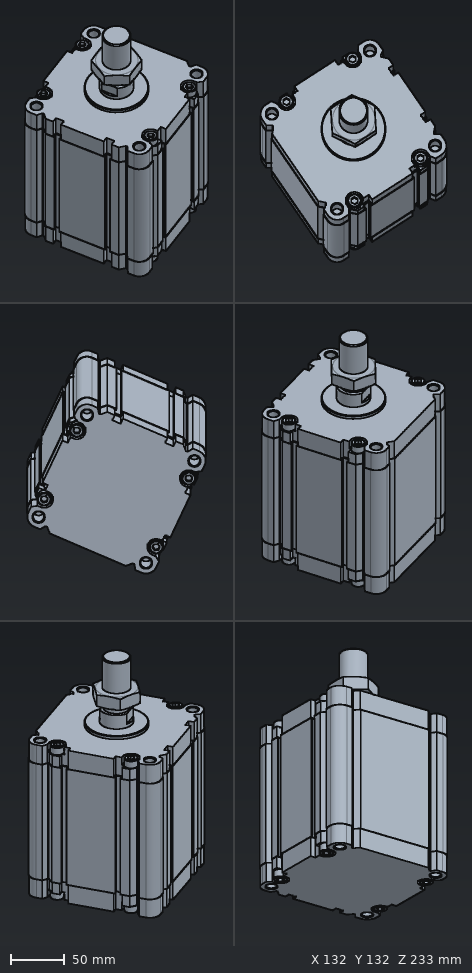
import cadquery as cq
import math


TUBE_WIDTH = 132.0
COVER_STEP = 0.5
COVER_HEIGHT = 19.5
HOUSING_HEIGHT = 161.0
CORNER_CENTRE = 55.0

GROOVE_DEPTH = 5.0
GROOVE_MOUTH = (39.1, 48.5)
GROOVE_FLOOR = (44.0, 45.2)

SLOT_STATION = 27.0
SLOT_MOUTH_WIDTH = 5.1
SLOT_WIDTH = 6.8
SLOT_LIP = 1.5
SLOT_DEPTH = 4.5
COVER_SLOT_WIDTH = 8.5
COVER_SLOT_FLOOR = 60.0
SLOTTED_SIDES = (-90, 0, 180)

HOLE_DIAMETER = 10.0
HOLE_MOUTH_DIAMETER = 11.9

BOLT_X = 57.3
BOLT_Y = 37.0
COUNTERBORE_DIAMETER = 16.5
HEAD_DIAMETER = 13.0
HEAD_TOP_DIAMETER = 11.5
HEAD_HEIGHT = 8.0
SOCKET_FLATS = 6.0
SOCKET_DEPTH = HEAD_HEIGHT / 2

BOSS_DIAMETER = 60.0
BOSS_HEIGHT = 3.5
BOSS_CHAMFER = 0.7

ROD_DIAMETER = 32.0
ROD_TOP = 233.0
ROD_SHOULDER = 179.0
ROD_FLATS = 27.0
ROD_FLATS_FLOOR = 168.2
NECK_DIAMETER = 25.0
THREAD_DIAMETER = 27.0
THREAD_BOTTOM = 183.5
THREAD_CHAMFER = 1.2

NUT_FLATS = 41.0
NUT_BOTTOM = 187.0
NUT_HEIGHT = 13.5
NUT_FACE_DIAMETER = 39.5
NUT_BEVEL_ANGLE = 15.0

half_tube = TUBE_WIDTH / 2
tube_height = HOUSING_HEIGHT - 2 * COVER_HEIGHT
boss_top = HOUSING_HEIGHT + BOSS_HEIGHT
quarter_turns = (0, 90, 180, 270)


def turned(shape, angle):
    """Turn a shape about the Z axis."""
    return shape.rotate((0, 0, 0), (0, 0, 1), angle)


def mid_height_mirror(shape):
    """Mirror a housing feature from the top cover to the bottom cover."""
    return shape.mirror("XY", (0, 0, HOUSING_HEIGHT / 2))


def cylinder(diameter, bottom, top):
    """Cylinder on the Z axis between two heights."""
    return cq.Workplane("XY", origin=(0, 0, bottom)).circle(diameter / 2).extrude(top - bottom)


def side_box(inner, outer, station, width, bottom, height):
    """Box reaching from inner to outer along X, centred on a station along Y."""
    box = cq.Workplane("XY").box(outer - inner, width, height, centered=(False, True, False))
    return box.translate((inner, station, bottom))


def hexagon(flats, height, bottom):
    """Hexagonal prism with two flats facing +X and -X."""
    corners = flats / math.cos(math.pi / 6)
    prism = cq.Workplane("XY").polygon(6, corners).extrude(height)
    return turned(prism, 30).translate((0, 0, bottom))


def make_tube():
    """Square tube body with rounded corners and two V grooves per side, without sensor slots."""
    tube = (
        cq.Workplane("XY")
        .rect(TUBE_WIDTH, TUBE_WIDTH)
        .extrude(tube_height)
        .edges("|Z")
        .fillet(half_tube - CORNER_CENTRE)
    )
    floor = half_tube - GROOVE_DEPTH
    groove = (
        cq.Workplane("XY")
        .moveTo(half_tube, GROOVE_MOUTH[0])
        .lineTo(floor, GROOVE_FLOOR[0])
        .lineTo(floor, GROOVE_FLOOR[1])
        .lineTo(half_tube, GROOVE_MOUTH[1])
        .close()
        .extrude(tube_height)
    )
    for angle in quarter_turns:
        for side in (groove, groove.mirror("XZ")):
            tube = tube.cut(turned(side, angle))
    return tube.translate((0, 0, COVER_HEIGHT))


def make_bottom_cover(tube):
    """End cover below the tube, following its outline inset by the cover step."""
    outline = tube.faces("<Z").wires().val()
    inset = outline.offset2D(-COVER_STEP, "intersection")[0]
    return cq.Workplane("XY").add(inset).toPending().extrude(-COVER_HEIGHT)


def cut_sensor_slots(housing):
    """T slots along the tube, opening into wider plain slots through both covers."""
    floor = half_tube - SLOT_DEPTH
    lip = half_tube - SLOT_LIP
    for station in (-SLOT_STATION, SLOT_STATION):
        chamber = side_box(floor, lip, station, SLOT_WIDTH, COVER_HEIGHT, tube_height)
        mouth = side_box(floor, half_tube, station, SLOT_MOUTH_WIDTH, COVER_HEIGHT, tube_height)
        cover_slot = side_box(COVER_SLOT_FLOOR, half_tube, station, COVER_SLOT_WIDTH, 0, COVER_HEIGHT)
        slot = chamber.union(mouth).union(cover_slot).union(mid_height_mirror(cover_slot))
        for angle in SLOTTED_SIDES:
            housing = housing.cut(turned(slot, angle))
    return housing


def cut_mounting_holes(housing):
    """Blind chamfered holes at the four corners of each cover, as deep as the cover."""
    mouth = (HOLE_MOUTH_DIAMETER - HOLE_DIAMETER) / 2
    hole_bottom = HOUSING_HEIGHT - COVER_HEIGHT
    corner_hole = (
        cq.Workplane("XZ")
        .moveTo(0, hole_bottom)
        .lineTo(HOLE_DIAMETER / 2, hole_bottom)
        .lineTo(HOLE_DIAMETER / 2, HOUSING_HEIGHT - mouth)
        .lineTo(HOLE_MOUTH_DIAMETER / 2, HOUSING_HEIGHT)
        .lineTo(0, HOUSING_HEIGHT)
        .close()
        .revolve(360, (0, 0, 0), (0, 1, 0))
        .translate((CORNER_CENTRE, CORNER_CENTRE, 0))
    )
    for angle in quarter_turns:
        hole = turned(corner_hole, angle)
        housing = housing.cut(hole).cut(mid_height_mirror(hole))
    return housing


def make_counterbore():
    """Counterbore for a bolt head, open through the +X side of the top cover."""
    seat = HOUSING_HEIGHT - HEAD_HEIGHT
    bore = cylinder(COUNTERBORE_DIAMETER, seat, HOUSING_HEIGHT).translate((BOLT_X, BOLT_Y, 0))
    return bore.union(side_box(BOLT_X, half_tube, BOLT_Y, COUNTERBORE_DIAMETER, seat, HEAD_HEIGHT))


def make_bolt_head():
    """Socket head seated in the counterbore, its top level with the cover."""
    socket = hexagon(SOCKET_FLATS, SOCKET_DEPTH, HEAD_HEIGHT - SOCKET_DEPTH)
    return (
        cylinder(HEAD_DIAMETER, 0, HEAD_HEIGHT)
        .faces(">Z")
        .chamfer((HEAD_DIAMETER - HEAD_TOP_DIAMETER) / 2)
        .cut(socket)
        .translate((BOLT_X, BOLT_Y, HOUSING_HEIGHT - HEAD_HEIGHT))
    )


def add_tie_bolts(housing):
    """Four bolt heads in each cover, beside the +X and -X sides."""
    counterbore = make_counterbore()
    head = make_bolt_head()
    for angle in (0, 180):
        for mirrored in (False, True):
            bore_copy = turned(counterbore, angle)
            head_copy = turned(head, angle)
            if mirrored:
                bore_copy = bore_copy.mirror("XZ")
                head_copy = head_copy.mirror("XZ")
            housing = housing.cut(bore_copy).cut(mid_height_mirror(bore_copy))
            housing = housing.union(head_copy).union(mid_height_mirror(head_copy))
    return housing


def make_housing():
    """Tube, two covers, tie-bolt heads and centring boss as one solid."""
    tube = make_tube()
    bottom_cover = make_bottom_cover(tube)
    housing = tube.union(bottom_cover).union(mid_height_mirror(bottom_cover))
    housing = cut_sensor_slots(housing)
    housing = cut_mounting_holes(housing)
    housing = add_tie_bolts(housing)
    boss = cylinder(BOSS_DIAMETER, HOUSING_HEIGHT, boss_top).faces(">Z").chamfer(BOSS_CHAMFER)
    return housing.union(boss)


def make_rod():
    """Rod standing on the boss, with wrench flats, a neck and a chamfered thread cylinder."""
    shank = cylinder(ROD_DIAMETER, boss_top, ROD_SHOULDER)
    flats_height = ROD_SHOULDER - ROD_FLATS_FLOOR
    waste = side_box(ROD_FLATS / 2, ROD_DIAMETER, 0, ROD_DIAMETER, ROD_FLATS_FLOOR, flats_height)
    for angle in (90, -90):
        shank = shank.cut(turned(waste, angle))
    neck = cylinder(NECK_DIAMETER, ROD_SHOULDER, THREAD_BOTTOM)
    thread = cylinder(THREAD_DIAMETER, THREAD_BOTTOM, ROD_TOP).faces("<Z or >Z").chamfer(THREAD_CHAMFER)
    return shank.union(neck).union(thread)


def make_nut():
    """Hexagonal nut with both faces bevelled by a shallow cone, bored to fit the thread."""
    nut_top = NUT_BOTTOM + NUT_HEIGHT
    corner_radius = NUT_FLATS / 2 / math.cos(math.pi / 6)
    face_radius = NUT_FACE_DIAMETER / 2
    bevel = (corner_radius - face_radius) * math.tan(math.radians(NUT_BEVEL_ANGLE))
    envelope = (
        cylinder(2 * corner_radius, NUT_BOTTOM, nut_top)
        .faces("<Z or >Z")
        .chamfer(bevel, corner_radius - face_radius)
    )
    bore = cylinder(THREAD_DIAMETER, NUT_BOTTOM, nut_top)
    return hexagon(NUT_FLATS, NUT_HEIGHT, NUT_BOTTOM).intersect(envelope).cut(bore)


housing = make_housing()
rod = make_rod()
nut = make_nut()

result = cq.Compound.makeCompound([housing.solids().val(), rod.solids().val(), nut.solids().val()])